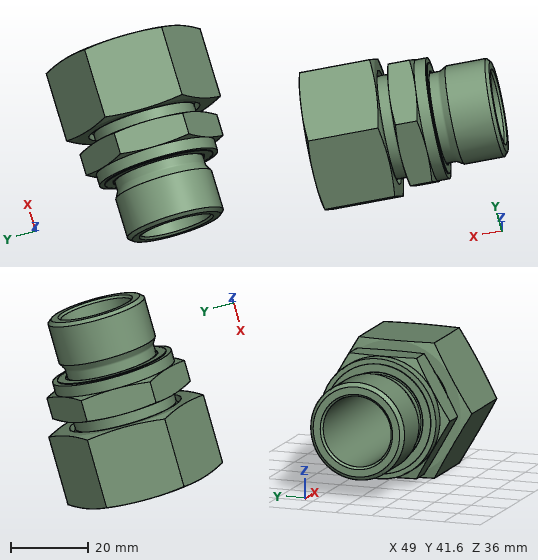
import cadquery as cq
import math

overall_length = 49.0

seal_face = 15.8
collar_face = 16.0
hex_face = 19.0
hex_end = 26.0
nut_face = 29.0
stub_relief_end = 29.4

thread_radius = 13.0
collar_radius = 15.95
groove_radius = 11.9
stub_radius = 13.55
nut_thread_radius = 15.0
bore_radius = 9.4

thread_length = 11.4
thread_chamfer_length = 0.9
thread_chamfer_depth = 1.05
runout_angle = 30.0
bore_chamfer = 0.6

blend_radius = 1.0
stub_blend_angle = 45.0

lip_start = 15.9
lip_end = 16.1
lip_radius = 12.4

seal_outer_radius = 14.6
seal_seat_depth = 1.45
seal_seat_end = collar_face + seal_seat_depth

hex_width = 32.05
nut_width = 36.0
hex_chamfer_angle = 15.0


def revolve_about_x(profile):
    """Turn a closed (axial, radial) outline about the X axis."""
    return profile.close().revolve(360, (0, 0, 0), (1, 0, 0))


def tube(start, end, inner_radius, outer_radius):
    """Plain ring between two stations on the axis."""
    return (
        cq.Workplane("YZ", origin=(start, 0, 0))
        .circle(outer_radius)
        .circle(inner_radius)
        .extrude(end - start)
    )


def chamfered_hexagon(start, end, width):
    """Hexagonal prism with flats facing +Z and -Z and both ends turned to a cone."""
    corner_radius = width / math.sqrt(3)
    flat_radius = width / 2
    chamfer_length = (corner_radius - flat_radius) * math.tan(math.radians(hex_chamfer_angle))
    prism = (
        cq.Workplane("YZ", origin=(start, 0, 0))
        .polygon(6, 2 * corner_radius)
        .extrude(end - start)
    )
    envelope = revolve_about_x(
        cq.Workplane("XY")
        .moveTo(start, 0)
        .lineTo(start, flat_radius)
        .lineTo(start + chamfer_length, corner_radius)
        .lineTo(end - chamfer_length, corner_radius)
        .lineTo(end, flat_radius)
        .lineTo(end, 0)
    )
    return prism.intersect(envelope)


def blend_point(angle):
    """Axial run and radial rise of a blend arc, measured from its tangent point on a cylinder."""
    turn = math.radians(angle)
    return blend_radius * math.sin(turn), blend_radius * (1 - math.cos(turn))


def make_threaded_end():
    """Thread cylinder, 30 degree run-out cone, blend arc, undercut, lip and collar with the seal seat."""
    run, rise = blend_point(runout_angle)
    mid_run, mid_rise = blend_point(runout_angle / 2)
    cone_end_radius = groove_radius + rise
    cone_length = (thread_radius - cone_end_radius) / math.tan(math.radians(runout_angle))
    cone_end = thread_length + cone_length
    blend_end = cone_end + run
    return revolve_about_x(
        cq.Workplane("XY")
        .moveTo(0, 0)
        .lineTo(0, thread_radius - thread_chamfer_depth)
        .lineTo(thread_chamfer_length, thread_radius)
        .lineTo(thread_length, thread_radius)
        .lineTo(cone_end, cone_end_radius)
        .threePointArc((blend_end - mid_run, groove_radius + mid_rise), (blend_end, groove_radius))
        .lineTo(lip_start, groove_radius)
        .lineTo(lip_end, lip_radius)
        .lineTo(seal_seat_end, lip_radius)
        .lineTo(seal_seat_end, seal_outer_radius)
        .lineTo(collar_face, seal_outer_radius)
        .lineTo(collar_face, collar_radius)
        .lineTo(hex_face, collar_radius)
        .lineTo(hex_face, 0)
    )


def make_stub():
    """Stub behind the hexagon: blended relief, 30 degree cone and the thread that carries the nut."""
    run, rise = blend_point(stub_blend_angle)
    mid_run, mid_rise = blend_point(stub_blend_angle / 2)
    blend_end = hex_end + run
    cone_length = (nut_thread_radius - stub_radius) / math.tan(math.radians(runout_angle))
    return revolve_about_x(
        cq.Workplane("XY")
        .moveTo(hex_end, 0)
        .lineTo(hex_end, stub_radius + rise)
        .threePointArc((blend_end - mid_run, stub_radius + mid_rise), (blend_end, stub_radius))
        .lineTo(stub_relief_end, stub_radius)
        .lineTo(stub_relief_end + cone_length, nut_thread_radius)
        .lineTo(overall_length, nut_thread_radius)
        .lineTo(overall_length, 0)
    )


def make_bore():
    """Through bore with a 45 degree chamfer at the threaded end."""
    return revolve_about_x(
        cq.Workplane("XY")
        .moveTo(0, 0)
        .lineTo(0, bore_radius + bore_chamfer)
        .lineTo(bore_chamfer, bore_radius)
        .lineTo(overall_length, bore_radius)
        .lineTo(overall_length, 0)
    )


def make_fitting():
    return (
        make_threaded_end()
        .union(chamfered_hexagon(hex_face, hex_end, hex_width))
        .union(make_stub())
        .cut(make_bore())
    )


def make_seal_ring():
    """Ring that fills its seat and stands slightly proud of the collar face."""
    return tube(seal_face, seal_seat_end, lip_radius, seal_outer_radius)


def make_nut():
    """Hexagonal nut whose bore fits on the thread of the stub."""
    thread_hole = (
        cq.Workplane("YZ", origin=(nut_face, 0, 0))
        .circle(nut_thread_radius)
        .extrude(overall_length - nut_face)
    )
    return chamfered_hexagon(nut_face, overall_length, nut_width).cut(thread_hole)


fitting = make_fitting()
seal_ring = make_seal_ring()
nut = make_nut()

result = cq.Compound.makeCompound([fitting.val(), seal_ring.val(), nut.val()])